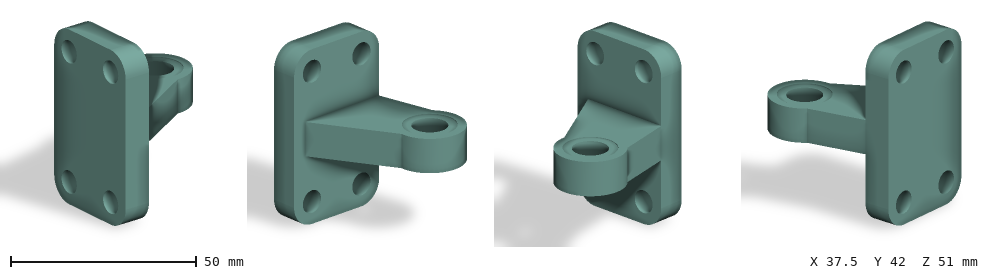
import cadquery as cq

hole_spacing_x = 18.0
hole_spacing_z = 38.0
hole_diameter = 6.6
corner_radius = 6.5
plate_width = hole_spacing_x + 2 * corner_radius
plate_height = hole_spacing_z + 2 * corner_radius
plate_thickness = 8.0

lug_thickness = 10.0
eye_x = -12.0
eye_y = 32.0
eye_radius = 10.0
recess_diameter = 15.0
bore_diameter = 10.0
recess_depth = 0.2

arm_left_offset_x = -7.3
arm_left_offset_y = -(eye_radius**2 - arm_left_offset_x**2) ** 0.5
arm_right_offset_y = -0.3
arm_right_offset_x = (eye_radius**2 - arm_right_offset_y**2) ** 0.5
arm_left_root_x = -plate_width / 2
arm_right_root_x = 11.6


def make_plate():
    blank = cq.Workplane("XY").box(
        plate_width, plate_thickness, plate_height, centered=(True, False, True)
    )
    rounded = blank.edges("|Y").fillet(corner_radius)
    holes = (
        cq.Workplane("XZ")
        .rect(hole_spacing_x, hole_spacing_z, forConstruction=True)
        .vertices()
        .circle(hole_diameter / 2)
        .extrude(-plate_thickness)
    )
    return rounded.cut(holes)


def make_lug():
    lug_base = cq.Workplane("XY").workplane(offset=-lug_thickness / 2)
    return (
        lug_base.moveTo(arm_left_root_x, plate_thickness)
        .lineTo(arm_right_root_x, plate_thickness)
        .lineTo(eye_x + arm_right_offset_x, eye_y + arm_right_offset_y)
        .threePointArc(
            (eye_x, eye_y + eye_radius),
            (eye_x + arm_left_offset_x, eye_y + arm_left_offset_y),
        )
        .close()
        .extrude(lug_thickness)
    )


def eye_cylinder(diameter, bottom_z, height):
    return (
        cq.Workplane("XY", origin=(eye_x, eye_y, bottom_z))
        .circle(diameter / 2)
        .extrude(height)
    )


bore = eye_cylinder(bore_diameter, -lug_thickness / 2, lug_thickness)
upper_recess = eye_cylinder(recess_diameter, lug_thickness / 2 - recess_depth, recess_depth)
lower_recess = eye_cylinder(recess_diameter, -lug_thickness / 2, recess_depth)

result = make_plate().union(make_lug()).cut(bore).cut(upper_recess).cut(lower_recess)